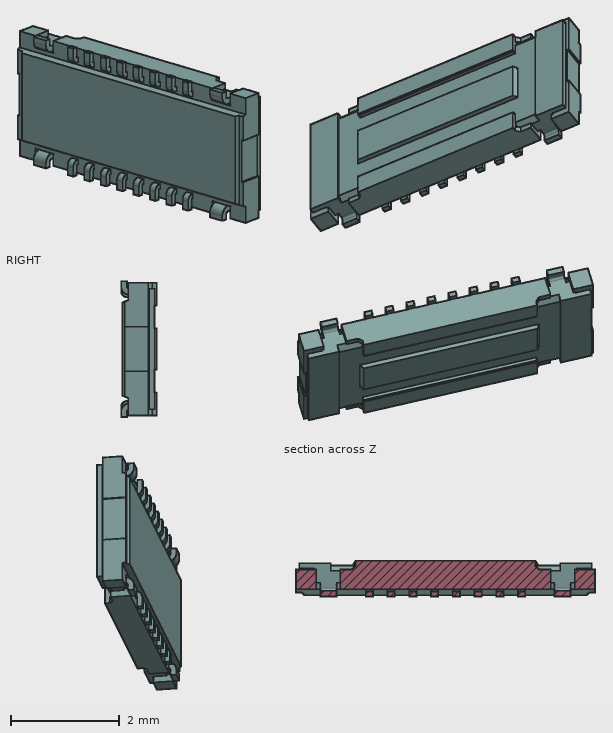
import cadquery as cq
import math

total_depth = 0.66
body_length = 5.5
body_height = 2.44
foot_span = 2.5

front_face = 0.02
end_ledge = 0.07
shoulder = 0.13
notch_step = 0.255
ramp_foot = 0.475
shell_back = 0.5
plate_front = 0.515
floor_back = 0.57
plate_back = 0.615

platform_base_height = 1.805
platform_face_height = 1.71
platform_base_length = 5.29
platform_face_length = 5.18
side_recess_depth = 0.035
side_recess_height = 0.815

core_height = 2.21
plate_outer_x = 2.69
plate_inner_x = 2.105
plate_gap_inner_x = 2.42
rail_length = 3.3
rail_inner_height = 1.585
rail_inner_chamfer = 0.02
tongue_height = 0.76
rail_end_slope = 0.07
tongue_end_slope = 0.055

notch_x = 2.155
notch_width = 0.435
notch_floor_height = 1.97
notch_floor_rise = 0.015
hold_down_x = 2.15
hold_down_width = 0.3
hold_down_thickness = 0.11
hold_down_inner_radius = 0.05

contact_count = 8
contact_row_length = 2.8
contact_pitch = contact_row_length / (contact_count - 1)
contact_width = 0.14
contact_thickness = 0.095
contact_inner_radius = 0.02
contact_bend_z = 1.065
contact_root = 0.165

sides = (-1, 1)


def block(x_low, x_high, depth_low, depth_high, z_low, z_high):
    """Box given by its limits."""
    size = (x_high - x_low, depth_high - depth_low, z_high - z_low)
    return cq.Workplane("XY").box(*size, centered=False).translate((x_low, depth_low, z_low))


def centred_block(length, depth_low, depth_high, height):
    """Box centred on X and Z."""
    return block(-length / 2, length / 2, depth_low, depth_high, -height / 2, height / 2)


def prism_along_z(points, height):
    """(X, depth) outline extruded symmetrically along Z."""
    return cq.Workplane("XY").polyline(points).close().extrude(height / 2, both=True)


def prism_along_x(points, length):
    """(depth, Z) outline extruded symmetrically along X."""
    return cq.Workplane("YZ").polyline(points).close().extrude(length / 2, both=True)


def make_shell():
    """Outer walls whose middle rises to the full-depth rails with sloping ends."""
    half, rail = body_length / 2, rail_length / 2
    right_edge = [
        (half, shoulder),
        (half, shell_back),
        (rail + rail_end_slope, shell_back),
        (rail, shell_back + rail_end_slope),
        (rail, total_depth),
    ]
    left_edge = [(-x, depth) for x, depth in reversed(right_edge)]
    shell = prism_along_z(right_edge + left_edge, body_height)
    return shell.cut(centred_block(body_length, ramp_foot, total_depth, core_height))


def make_platform():
    """Front platform: sloping long edges, and ends that step down to a ledge."""
    base, face = platform_base_height / 2, platform_face_height / 2
    long_edges = prism_along_x(
        [(shoulder, -base), (front_face, -face), (front_face, face), (shoulder, base)], body_length
    )
    half = body_length / 2
    ledge, top = platform_base_length / 2, platform_face_length / 2
    right_edge = [(top, front_face), (ledge, end_ledge), (half, end_ledge), (half, shoulder)]
    left_edge = [(-x, depth) for x, depth in reversed(right_edge)]
    return long_edges.intersect(prism_along_z(right_edge + left_edge, body_height))


def make_floor():
    """Floor between the end plates, ramped at 45 degrees along its long edges."""
    edge = core_height / 2
    ramp_end = edge - (floor_back - ramp_foot)
    outline = [(shoulder, -edge), (ramp_foot, -edge), (floor_back, -ramp_end)]
    outline += [(depth, -z) for depth, z in reversed(outline)]
    return prism_along_x(outline, 2 * plate_inner_x)


def make_rail(side):
    """Inner part of a full-depth rail, chamfered along its inner back edge."""
    outer, inner = core_height / 2, rail_inner_height / 2
    outline = [
        (ramp_foot, outer),
        (total_depth, outer),
        (total_depth, inner + rail_inner_chamfer),
        (total_depth - rail_inner_chamfer, inner),
        (ramp_foot, inner),
    ]
    return prism_along_x([(depth, side * z) for depth, z in outline], rail_length)


def make_tongue():
    """Central tongue with sloping ends."""
    top = rail_length / 2
    base = top + tongue_end_slope
    outline = [(-base, floor_back), (-top, total_depth), (top, total_depth), (base, floor_back)]
    return prism_along_z(outline, tongue_height)


def make_end_plate(side):
    """Plate closing one end, with a thin gap between its overhang and the shell."""
    edge = core_height / 2
    plate = block(plate_inner_x, plate_outer_x, ramp_foot, plate_back, -edge, edge)
    ledge = block(plate_inner_x, body_length / 2, ramp_foot, shell_back, -edge, edge)
    gap = block(plate_gap_inner_x, plate_outer_x, shell_back, plate_front, -edge, edge)
    end_plate = plate.union(ledge).cut(gap)
    return end_plate if side > 0 else end_plate.mirror("YZ")


def make_notch(x, side):
    """Corner notch, deeper at the front than at the back, its front floor slightly tilted."""
    low, high = x - notch_width / 2, x + notch_width / 2
    edge = body_height / 2
    back = block(low, high, shoulder, total_depth, core_height / 2, edge)
    floor = notch_floor_height / 2
    front = prism_along_x(
        [(shoulder, edge), (shoulder, floor), (notch_step, floor + notch_floor_rise), (notch_step, edge)],
        notch_width,
    ).translate((x, 0, 0))
    notch = back.union(front)
    return notch if side > 0 else notch.mirror("XY")


def make_lead(x, side, width, thickness, inner_radius, bend_z, root_depth):
    """Foot along Z, bent a quarter turn into a leg that enters the housing."""
    outer_radius = inner_radius + thickness
    tip = foot_span / 2
    diagonal = math.cos(math.pi / 4)

    def on_bend(radius):
        return (outer_radius - radius * diagonal, bend_z - radius * diagonal)

    lead = (
        cq.Workplane("YZ")
        .moveTo(0, tip)
        .lineTo(0, bend_z)
        .threePointArc(on_bend(outer_radius), (outer_radius, bend_z - outer_radius))
        .lineTo(root_depth, bend_z - outer_radius)
        .lineTo(root_depth, bend_z - inner_radius)
        .lineTo(outer_radius, bend_z - inner_radius)
        .threePointArc(on_bend(inner_radius), (thickness, bend_z))
        .lineTo(thickness, tip)
        .close()
        .extrude(width / 2, both=True)
        .translate((x, 0, 0))
    )
    return lead if side > 0 else lead.mirror("XY")


part = make_shell().union(make_platform()).union(make_floor()).union(make_tongue())
for side in sides:
    part = part.union(make_rail(side)).union(make_end_plate(side))

for side in sides:
    recess_centre = side * body_length / 2
    recess = centred_block(2 * side_recess_depth, end_ledge, shell_back, side_recess_height)
    part = part.cut(recess.translate((recess_centre, 0, 0)))

hold_down_bend_z = core_height / 2 + hold_down_inner_radius
for end in sides:
    for side in sides:
        part = part.cut(make_notch(end * notch_x, side))
        part = part.union(
            make_lead(
                end * hold_down_x, side, hold_down_width, hold_down_thickness,
                hold_down_inner_radius, hold_down_bend_z, notch_step,
            )
        )

for index in range(contact_count):
    contact_x = index * contact_pitch - contact_row_length / 2
    for side in sides:
        part = part.union(
            make_lead(
                contact_x, side, contact_width, contact_thickness,
                contact_inner_radius, contact_bend_z, contact_root,
            )
        )

result = part.translate((0, -total_depth / 2, 0))